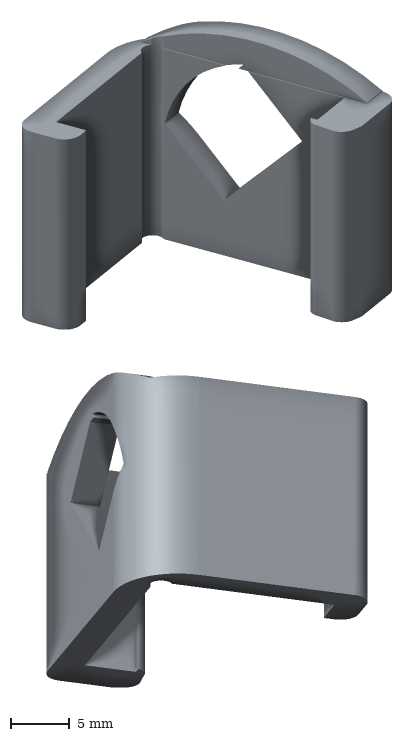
import cadquery as cq

width = 25.37
depth = 21.29
total_height = 21.35
body_height = 18.32

left_wall = 2.54
back_wall = 2.65
right_wall = 3.83
shoulder_radius = 5.73
corner_radius = 1.6
front_lip_reach = 5.5
front_lip_thickness = 2.6
front_lip_edge_radius = 0.13
relief_radius = 1.0
relief_center = (3.12, 17.9)

hook_tip = (20.9, 14.08)
hook_nose_middle = (21.29, 13.45)
hook_nose_end = (22.05, 13.2)
hook_front_end = (23.75, 13.01)
hook_round_middle = (24.5, 13.27)
hook_round_end = (25.01, 13.85)
hook_side_start = (width, 14.97)

crest_inset = 1.62
crest_step = 0.08
crest_thickness = 2.55

window_right = (17.43, 13.0)
window_bottom = (9.75, 5.3)
window_top_step = 5.84
window_bulge = 1.65

inner_back = depth - back_wall
crest_base = body_height + crest_step


def clip_profile():
    """Open C-shaped outline in the XY plane, with sharp outer corners."""
    arm_inner = width - right_wall
    return (
        cq.Workplane("XY")
        .moveTo(0, 0)
        .lineTo(front_lip_reach, 0)
        .lineTo(front_lip_reach, front_lip_thickness)
        .lineTo(left_wall, front_lip_thickness)
        .lineTo(left_wall, inner_back)
        .lineTo(arm_inner, inner_back)
        .lineTo(arm_inner, hook_tip[1])
        .lineTo(*hook_tip)
        .threePointArc(hook_nose_middle, hook_nose_end)
        .lineTo(*hook_front_end)
        .threePointArc(hook_round_middle, hook_round_end)
        .lineTo(*hook_side_start)
        .lineTo(width, depth)
        .lineTo(0, depth)
        .close()
    )


def round_upright_edge(solid, x, y, radius):
    """Fillet the vertical edge that stands at (x, y)."""
    margin = 0.03
    selector = cq.selectors.BoxSelector(
        (x - margin, y - margin, 0), (x + margin, y + margin, total_height)
    )
    return solid.edges("|Z").edges(selector).fillet(radius)


def rounded_clip(height):
    clip = clip_profile().extrude(height)
    clip = round_upright_edge(clip, 0, depth, shoulder_radius)
    clip = round_upright_edge(clip, 0, 0, corner_radius)
    clip = round_upright_edge(clip, front_lip_reach, 0, corner_radius)
    clip = round_upright_edge(clip, front_lip_reach, front_lip_thickness, front_lip_edge_radius)
    return round_upright_edge(clip, width, depth, corner_radius)


def back_plane():
    """XZ workplane on the back face; extrusions run forward through the wall."""
    return cq.Workplane("XZ", origin=(0, depth, 0))


def crest():
    """Arched segment, trimmed to follow the rounded shoulder of the clip."""
    right_end = width - crest_inset
    arch = (
        back_plane()
        .moveTo(crest_inset, body_height)
        .lineTo(crest_inset, crest_base)
        .threePointArc((width / 2, total_height), (right_end, crest_base))
        .lineTo(right_end, body_height)
        .close()
        .extrude(crest_thickness)
    )
    return arch.intersect(rounded_clip(total_height))


window_top = (window_right[0] - window_top_step, window_right[1] + window_top_step)
window_left = (window_bottom[0] - window_top_step, window_bottom[1] + window_top_step)

diamond = (
    back_plane()
    .polyline([window_right, window_top, window_left, window_bottom])
    .close()
    .extrude(back_wall)
)
window_arch = (
    back_plane()
    .moveTo(*window_left)
    .sagittaArc(window_top, window_bulge)
    .close()
    .extrude(back_wall)
)
corner_relief = cq.Workplane("XY").center(*relief_center).circle(relief_radius).extrude(total_height)

result = (
    rounded_clip(body_height)
    .cut(diamond)
    .union(crest())
    .cut(window_arch)
    .cut(corner_relief)
)